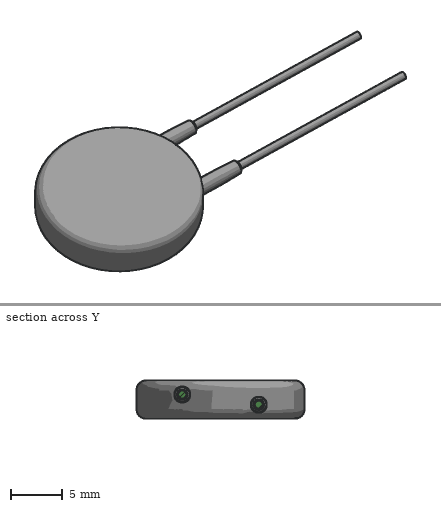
import cadquery as cq

disc_diameter = 16.5
disc_thickness = 3.8
disc_edge_radius = 1.0
disc_radius = disc_diameter / 2

sleeve_diameter = 1.6
sleeve_end_diameter = 1.45
sleeve_end_chamfer = 0.2
sleeve_straight_length = 1.25
sleeve_length = 3.5

lead_pitch = 7.5
lead_z_offset = 0.5
lead_diameter = 0.8
lead_exposed_length = 20.0

root_y = 5.0
sleeve_taper_start_y = disc_radius + sleeve_straight_length
sleeve_end_y = disc_radius + sleeve_length
lead_tip_y = sleeve_end_y + lead_exposed_length


def make_disc():
    """Round disc with both rims rounded."""
    disc = cq.Workplane("XY").circle(disc_radius).extrude(disc_thickness / 2, both=True)
    return disc.edges("%CIRCLE").fillet(disc_edge_radius)


def make_lead(x, z):
    """Wire and its sleeve, revolved as one profile about the wire's axis at (x, z)."""
    wire_radius = lead_diameter / 2
    sleeve_radius = sleeve_diameter / 2
    sleeve_end_radius = sleeve_end_diameter / 2
    profile = (
        cq.Workplane("XY")
        .moveTo(0, root_y)
        .lineTo(sleeve_radius, root_y)
        .lineTo(sleeve_radius, sleeve_taper_start_y)
        .lineTo(sleeve_end_radius, sleeve_end_y - sleeve_end_chamfer)
        .lineTo(sleeve_end_radius - sleeve_end_chamfer, sleeve_end_y)
        .lineTo(wire_radius, sleeve_end_y)
        .lineTo(wire_radius, lead_tip_y)
        .lineTo(0, lead_tip_y)
        .close()
    )
    return profile.revolve(360, (0, 0, 0), (0, 1, 0)).translate((x, 0, z))


result = make_disc()
for side in (-1, 1):
    lead = make_lead(side * lead_pitch / 2, side * lead_z_offset)
    result = result.union(lead)